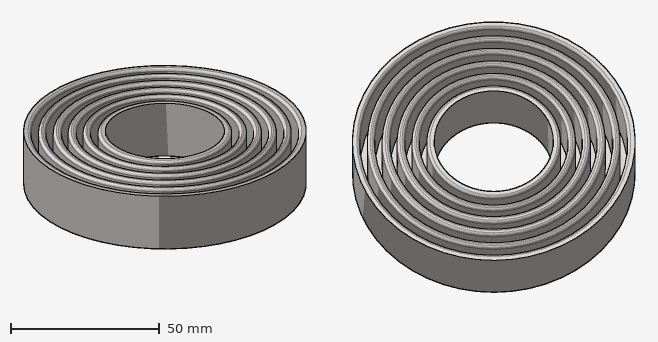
import cadquery as cq

outer_diameter = 95.0
bore_diameter = 40.0
height = 20.0
groove_count = 5
floor_thickness = 2.0
rim_fillet = 1.0

reduced_grooves = (1, 2)
diameter_reduction = 0.39

outer_radius = outer_diameter / 2
bore_radius = bore_diameter / 2
groove_depth = height - floor_thickness

band_count = 2 * groove_count + 1
band_width = (outer_radius - bore_radius) / band_count


def disc(radius, base_z, disc_height, center_x=0.0):
    """Upright cylinder standing on base_z."""
    return cq.Workplane("XY", origin=(center_x, 0, base_z)).circle(radius).extrude(disc_height)


def groove_cutter(index):
    """Annular volume of one groove, counted from the bore outward."""
    inner_radius = bore_radius + (2 * index + 1) * band_width
    radius_reduction = diameter_reduction / 2 if index in reduced_grooves else 0.0
    groove_radius = inner_radius + band_width - radius_reduction
    outer_disc = disc(groove_radius, floor_thickness, groove_depth, center_x=radius_reduction)
    return outer_disc.cut(disc(inner_radius, floor_thickness, groove_depth))


def cut_grooves(body):
    """Cut the nested grooves down from the top face."""
    for index in range(groove_count):
        body = body.cut(groove_cutter(index))
    return body


def is_groove_rim(edge):
    """True for circles that lie clear of the bore and of the outer wall."""
    margin = band_width / 2
    return bore_radius + margin < edge.radius() < outer_radius - margin


def round_groove_rims(body):
    """Round both top edges of every groove; the bore and outer rims stay sharp."""
    return body.faces(">Z").edges().filter(is_groove_rim).fillet(rim_fillet)


solid_ring = disc(outer_radius, 0, height).cut(disc(bore_radius, 0, height))
grooved_ring = cut_grooves(solid_ring)
result = round_groove_rims(grooved_ring)